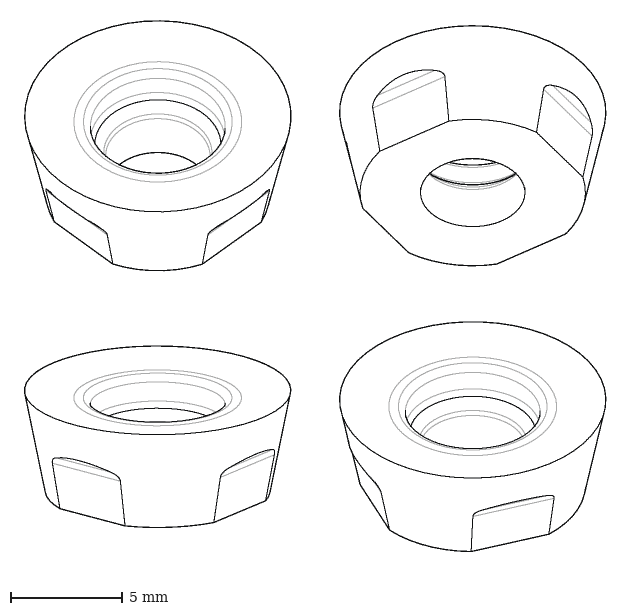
import cadquery as cq
import math

height = 4.76
top_radius = 6.0
clearance_angle = 11.0
clearance_slope = math.tan(math.radians(clearance_angle))
base_radius = top_radius - height * clearance_slope

dish_depth = 0.36
ring_outer_radius = 3.78
ring_inner_radius = 3.35
ring_z = height - dish_depth

counterbore_radius = 3.04
mouth_rounding = ring_inner_radius - counterbore_radius
counterbore_depth = 1.22
counterbore_bottom_z = ring_z - counterbore_depth
seat_top_radius = 2.85
seat_top_depth = 1.5
seat_top_z = ring_z - seat_top_depth
seat_bottom_radius = 2.44
seat_bottom_depth = 1.99
seat_bottom_z = ring_z - seat_bottom_depth
bore_radius = 2.35
bore_top_depth = 2.21
bore_top_z = ring_z - bore_top_depth

flat_count = 4
flat_base_distance = 4.72
flat_top_z = 2.28
flat_width = 4.8
ramp_start_z = 2.69
ramp_start_distance = 5.38
ramp_end_z = 2.95
ramp_end_distance = 5.64
cutter_reach = 7.2


def make_body():
    """Revolve the dished cone together with its stepped hole."""
    mouth_arc_center_radius = ring_inner_radius
    mouth_center_z = ring_z - mouth_rounding
    diagonal = mouth_rounding * math.sqrt(0.5)
    profile = (
        cq.Workplane("XZ")
        .moveTo(bore_radius, 0)
        .lineTo(base_radius, 0)
        .lineTo(top_radius, height)
        .lineTo(ring_outer_radius, ring_z)
        .lineTo(ring_inner_radius, ring_z)
        .threePointArc(
            (mouth_arc_center_radius - diagonal, mouth_center_z + diagonal),
            (counterbore_radius, mouth_center_z),
        )
        .lineTo(counterbore_radius, counterbore_bottom_z)
        .tangentArcPoint((seat_top_radius, seat_top_z), relative=False)
        .lineTo(seat_bottom_radius, seat_bottom_z)
        .tangentArcPoint((bore_radius, bore_top_z), relative=False)
        .close()
    )
    return profile.revolve(360, (0, 0, 0), (0, 1, 0))


def make_flat_cutter():
    """Make the cutter for the flat on the +X side, with a concave run-out and a ramp above it."""
    flat_top_distance = flat_base_distance + flat_top_z * clearance_slope
    ramp_slope = (ramp_end_distance - ramp_start_distance) / (ramp_end_z - ramp_start_z)
    cutter_top_z = ramp_end_z + (cutter_reach - ramp_end_distance) / ramp_slope
    return (
        cq.Workplane("XZ")
        .moveTo(flat_base_distance, 0)
        .lineTo(flat_top_distance, flat_top_z)
        .tangentArcPoint((ramp_start_distance, ramp_start_z), relative=False)
        .lineTo(cutter_reach, cutter_top_z)
        .lineTo(cutter_reach, 0)
        .close()
        .extrude(flat_width / 2, both=True)
    )


result = make_body()
flat_cutter = make_flat_cutter()
for index in range(flat_count):
    result = result.cut(flat_cutter.rotate((0, 0, 0), (0, 0, 1), index * 360 / flat_count))